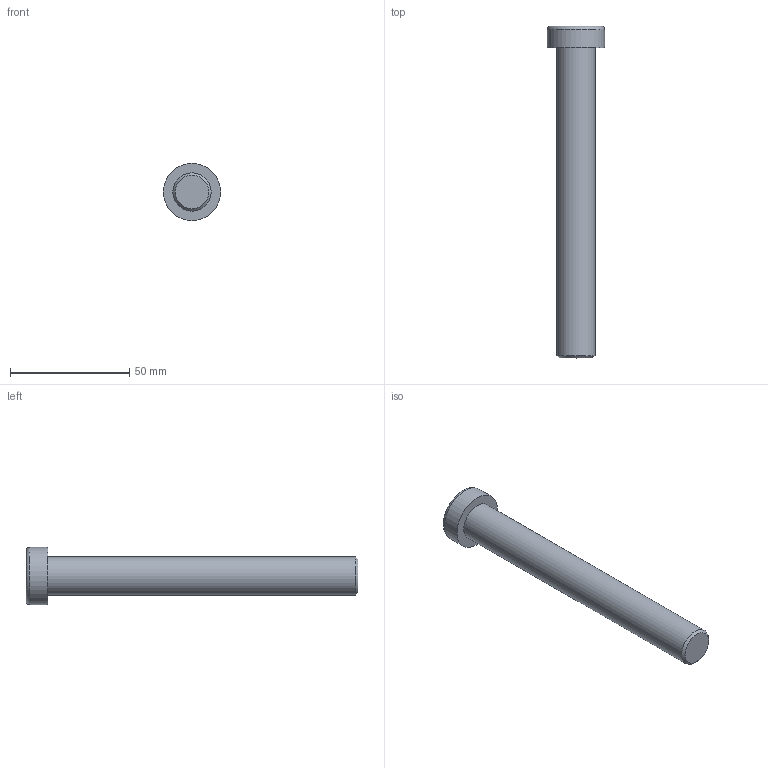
import cadquery as cq

total_length = 139.0
head_diameter = 24.0
head_height = 9.0
head_edge_radius = 1.6
shank_diameter = 16.0
tip_chamfer = 1.0

shank_length = total_length - head_height


def cylinder_along_y(diameter, start_y, length):
    """Solid cylinder centred on the Y axis, growing from start_y toward +Y."""
    axis_start = cq.Vector(0, start_y, 0)
    axis_direction = cq.Vector(0, 1, 0)
    return cq.Workplane(cq.Solid.makeCylinder(diameter / 2, length, axis_start, axis_direction))


def make_shank():
    """Shank ending at the head's underside (y = 0), with a chamfered tip."""
    shank = cylinder_along_y(shank_diameter, -shank_length, shank_length)
    return shank.faces("<Y").edges().chamfer(tip_chamfer)


def make_head():
    """Cylindrical head with its outer rim rounded."""
    head = cylinder_along_y(head_diameter, 0, head_height)
    return head.faces(">Y").edges().fillet(head_edge_radius)


result = make_shank().union(make_head())